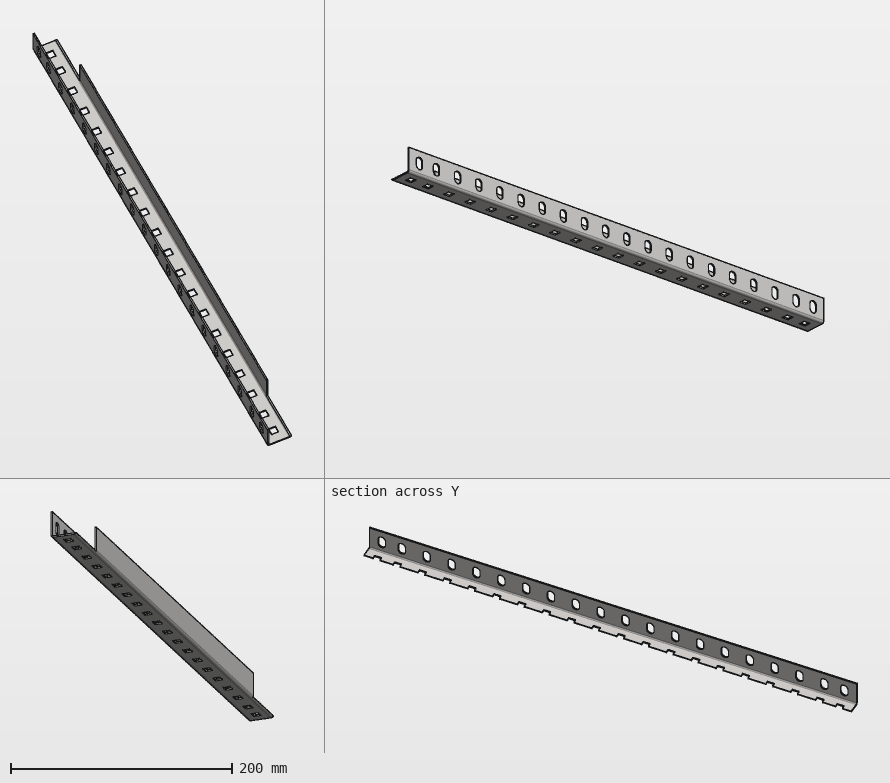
import cadquery as cq

length = 490.0
width = 24.5
height = 25.0
thickness = 1.5
outer_bend_radius = 2.5
inner_bend_radius = outer_bend_radius - thickness

rear_flange_setback = 50.0
rear_stub_height = 1.7

hole_pitch = 25.0
pitched_hole_count = 18
end_hole_spacing = 20.0
square_hole_side = 7.0
slot_width = 7.5
slot_height = 12.2
slot_center_z = height / 2


def hole_positions():
    """X positions of the hole row, centred on the channel."""
    half_row = (pitched_hole_count - 1) * hole_pitch / 2
    pitched = [i * hole_pitch - half_row for i in range(pitched_hole_count)]
    end_x = half_row + end_hole_spacing
    return [-end_x] + pitched + [end_x]


def channel():
    """U-shaped channel along X, open upward, with rounded bends."""
    outer = (
        cq.Workplane("XY")
        .box(length, width, height, centered=(True, True, False))
        .edges("|X and <Z")
        .fillet(outer_bend_radius)
    )
    inner = (
        cq.Workplane("XY", origin=(0, 0, thickness))
        .box(length, width - 2 * thickness, height, centered=(True, True, False))
        .edges("|X and <Z")
        .fillet(inner_bend_radius)
    )
    return outer.cut(inner)


def rear_flange_cutouts():
    """Blocks that remove the rear flange, above a low stub, at both ends."""
    cut_center_x = (length - rear_flange_setback) / 2
    return (
        cq.Workplane("XY", origin=(0, width / 2, rear_stub_height))
        .pushPoints([(-cut_center_x, 0), (cut_center_x, 0)])
        .rect(rear_flange_setback, 2 * outer_bend_radius)
        .extrude(height)
    )


def front_slots():
    """Upright slots through the front flange."""
    return (
        cq.Workplane("XZ", origin=(0, -width / 2 + thickness, 0))
        .pushPoints([(x, slot_center_z) for x in hole_positions()])
        .slot2D(slot_height, slot_width, 90)
        .extrude(thickness)
    )


def base_holes():
    """Square holes through the base."""
    return (
        cq.Workplane("XY")
        .pushPoints([(x, 0) for x in hole_positions()])
        .rect(square_hole_side, square_hole_side)
        .extrude(thickness)
    )


result = (
    channel()
    .cut(rear_flange_cutouts())
    .cut(front_slots())
    .cut(base_holes())
)